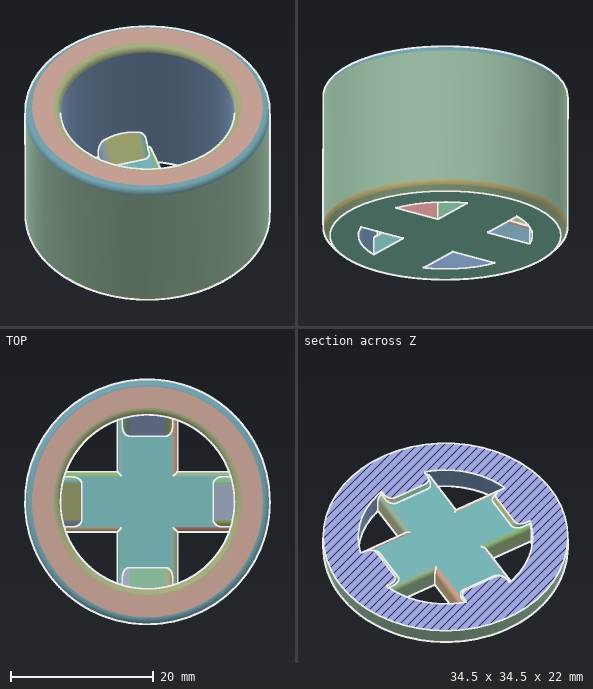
import cadquery as cq
import math

outer_radius = 17.25
bore_radius = 12.25
height = 22.0
edge_size = 1.0

arm_width = 8.52
floor_thickness = 3.0
arm_edge = 0.72

gusset_toe_radius = 9.25
gusset_slope = 45.0
gusset_width = arm_width - 2 * arm_edge

embed_radius = (bore_radius + outer_radius) / 2


def make_sleeve():
    """Ring with rounded upper rims and a softened chamfer at the lower outer rim."""
    ring = cq.Workplane("XY").circle(outer_radius).circle(bore_radius).extrude(height)
    ring = ring.faces(">Z").edges().fillet(edge_size)
    ring = ring.faces("<Z").edges(cq.selectors.RadiusNthSelector(-1)).chamfer(edge_size)
    reach = 2 * outer_radius
    chamfer_top = cq.selectors.BoxSelector(
        (-reach, -reach, edge_size / 2), (reach, reach, edge_size * 3 / 2), boundingbox=True
    )
    return ring.edges(chamfer_top).fillet(edge_size)


def make_cross():
    """Two crossing arms with rounded upper edges."""
    length = 2 * embed_radius
    arm_x = cq.Workplane("XY").rect(length, arm_width).extrude(floor_thickness)
    arm_y = cq.Workplane("XY").rect(arm_width, length).extrude(floor_thickness)
    return arm_x.union(arm_y).faces(">Z").edges().fillet(arm_edge)


def make_gusset():
    """Wedge on the +X arm, rounded along both sides of its slope and ending inside the wall."""
    run = embed_radius - gusset_toe_radius
    slope = math.tan(math.radians(gusset_slope))
    base_drop = floor_thickness / 2
    wedge = (
        cq.Workplane("XZ")
        .moveTo(gusset_toe_radius - base_drop / slope, floor_thickness - base_drop)
        .lineTo(embed_radius, floor_thickness - base_drop)
        .lineTo(embed_radius, floor_thickness + run * slope)
        .close()
        .extrude(gusset_width / 2, both=True)
    )
    sloped_edges = wedge.edges("(not |X) and (not |Y) and (not |Z)")
    return sloped_edges.fillet(edge_size)


result = make_sleeve().union(make_cross())
gusset = make_gusset()
for quarter in range(4):
    result = result.union(gusset.rotate((0, 0, 0), (0, 0, 1), 90 * quarter))